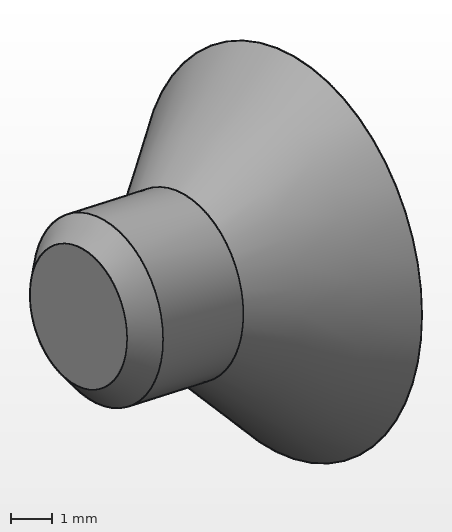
import math
import cadquery as cq

head_diameter = 10.44
shank_diameter = 4.83
overall_length = 6.35
countersink_angle = 82.0
tip_chamfer = 0.61

head_radius = head_diameter / 2
shank_radius = shank_diameter / 2
tip_radius = shank_radius - tip_chamfer
head_height = (head_radius - shank_radius) / math.tan(math.radians(countersink_angle / 2))


def revolved_stud():
    """Revolve the half profile (radius along X, length along -Y) about the Y axis."""
    half_profile = (
        cq.Workplane("XY")
        .moveTo(0, 0)
        .lineTo(head_radius, 0)
        .lineTo(shank_radius, -head_height)
        .lineTo(shank_radius, tip_chamfer - overall_length)
        .lineTo(tip_radius, -overall_length)
        .lineTo(0, -overall_length)
        .close()
    )
    return half_profile.revolve(360, (0, 0, 0), (0, 1, 0))


result = revolved_stud()